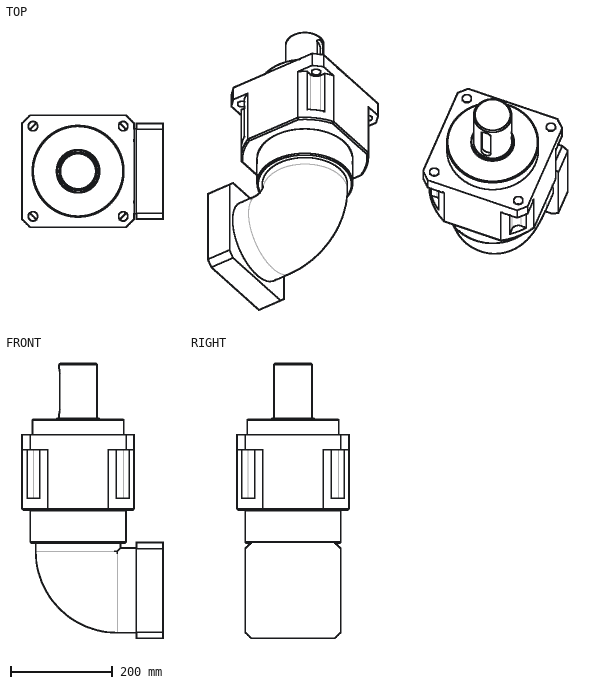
import cadquery as cq
import math

TOTAL_HEIGHT = 539.55
INPUT_REACH = 166.55

SHAFT_DIAMETER = 75.0
SHAFT_TOP = 140.0
SHAFT_CHAMFER = 3.0
KEYWAY_WIDTH = 20.0
KEYWAY_LENGTH = 90.0
KEYWAY_DEPTH = 7.5
KEYWAY_TOP_MARGIN = 10.0

PILOT_DIAMETER = 180.0
PILOT_HEIGHT = 30.0
PILOT_CHAMFER = 2.0
COLLAR_DIAMETER = 85.0
COLLAR_HEIGHT = 2.0
COLLAR_CHAMFER = 1.5

HOUSING_WIDTH = 220.0
FLANGE_THICKNESS = 30.0
FLANGE_CORNER_CHAMFER = 16.0
HOUSING_BOTTOM = -148.0
HOUSING_TURNED_DIAMETER = 250.0
HOUSING_BOTTOM_CHAMFER = 3.0
BOLT_CIRCLE_DIAMETER = 250.0
BOLT_HOLE_DIAMETER = 18.0
BOLT_POCKET_RADIUS = 13.5
BOLT_POCKET_BOTTOM = -125.0

ADAPTER_DIAMETER = 188.0
ADAPTER_BOTTOM = -213.0
ADAPTER_TOP_CHAMFER = 1.5
ADAPTER_BOTTOM_CHAMFER = 2.5

ELBOW_DIAMETER = 167.0
BEND_RADIUS = 77.0

INPUT_FLANGE_WIDTH = 188.0
INPUT_FLANGE_THICKNESS = 52.0
INPUT_FLANGE_CHAMFER = 12.0

PART_BOTTOM = SHAFT_TOP - TOTAL_HEIGHT
FLANGE_BOTTOM = -FLANGE_THICKNESS
INPUT_AXIS_HEIGHT = PART_BOTTOM + INPUT_FLANGE_WIDTH / 2
BEND_TOP = INPUT_AXIS_HEIGHT + BEND_RADIUS
INPUT_FLANGE_BACK = INPUT_REACH - INPUT_FLANGE_THICKNESS
BOLT_OFFSET = BOLT_CIRCLE_DIAMETER / 2 / math.sqrt(2)


def cylinder(diameter, bottom, top):
    """Cylinder on the output axis between two heights."""
    return cq.Workplane("XY").workplane(offset=bottom).circle(diameter / 2).extrude(top - bottom)


def square_block(width, bottom, top):
    """Square block centred on the output axis between two heights."""
    return cq.Workplane("XY").workplane(offset=bottom).rect(width, width).extrude(top - bottom)


def make_shaft():
    """Output shaft with a round-ended keyway sunk into its -X side."""
    shaft = cylinder(SHAFT_DIAMETER, FLANGE_BOTTOM, SHAFT_TOP).faces(">Z").chamfer(SHAFT_CHAMFER)
    keyway_centre = SHAFT_TOP - KEYWAY_TOP_MARGIN - KEYWAY_LENGTH / 2
    keyway = (
        cq.Workplane("YZ", origin=(-SHAFT_DIAMETER / 2, 0, keyway_centre))
        .slot2D(KEYWAY_LENGTH, KEYWAY_WIDTH, 90)
        .extrude(KEYWAY_DEPTH)
    )
    return shaft.cut(keyway)


def make_pilot():
    """Pilot boss carrying the low bevelled collar around the shaft."""
    pilot = cylinder(PILOT_DIAMETER, FLANGE_BOTTOM, PILOT_HEIGHT).faces(">Z").chamfer(PILOT_CHAMFER)
    collar = cylinder(COLLAR_DIAMETER, 0, PILOT_HEIGHT + COLLAR_HEIGHT)
    return pilot.union(collar.faces(">Z").chamfer(COLLAR_CHAMFER))


def make_housing():
    """Square flange over a square housing whose corners are turned round."""
    flange = square_block(HOUSING_WIDTH, FLANGE_BOTTOM, 0).edges("|Z").chamfer(FLANGE_CORNER_CHAMFER)
    turned = cylinder(HOUSING_TURNED_DIAMETER, HOUSING_BOTTOM, FLANGE_BOTTOM)
    body = square_block(HOUSING_WIDTH, HOUSING_BOTTOM, FLANGE_BOTTOM).intersect(turned)
    body = body.faces("<Z").chamfer(HOUSING_BOTTOM_CHAMFER)
    return flange.union(body)


def bolt_cutter(side_x, side_y):
    """Bolt hole through the flange and the open corner pocket for the bolt head below it."""
    inner = BOLT_OFFSET - BOLT_POCKET_RADIUS
    size = HOUSING_WIDTH / 2 - inner
    centre = inner + size / 2
    pocket = (
        cq.Workplane("XY", origin=(side_x * centre, side_y * centre, BOLT_POCKET_BOTTOM))
        .rect(size, size)
        .extrude(FLANGE_BOTTOM - BOLT_POCKET_BOTTOM)
    )
    inner_edge = cq.selectors.NearestToPointSelector(
        (side_x * inner, side_y * inner, (FLANGE_BOTTOM + BOLT_POCKET_BOTTOM) / 2)
    )
    pocket = pocket.edges("|Z").edges(inner_edge).fillet(BOLT_POCKET_RADIUS)
    hole = cylinder(BOLT_HOLE_DIAMETER, FLANGE_BOTTOM, 0)
    return pocket.union(hole.translate((side_x * BOLT_OFFSET, side_y * BOLT_OFFSET, 0)))


def make_adapter():
    """Round adapter between the housing and the elbow."""
    adapter = cylinder(ADAPTER_DIAMETER, ADAPTER_BOTTOM, HOUSING_BOTTOM)
    adapter = adapter.faces(">Z").chamfer(ADAPTER_TOP_CHAMFER)
    return adapter.faces("<Z").chamfer(ADAPTER_BOTTOM_CHAMFER)


def make_elbow():
    """Vertical tube, quarter bend about a Y axis and horizontal tube to the input flange."""
    radius = ELBOW_DIAMETER / 2
    vertical = cylinder(ELBOW_DIAMETER, BEND_TOP, ADAPTER_BOTTOM)
    horizontal = (
        cq.Workplane("YZ", origin=(BEND_RADIUS, 0, INPUT_AXIS_HEIGHT))
        .circle(radius)
        .extrude(INPUT_FLANGE_BACK - BEND_RADIUS)
    )
    half_chord = math.sqrt(radius**2 - BEND_RADIUS**2)
    bend = (
        cq.Workplane("XY", origin=(0, 0, BEND_TOP))
        .moveTo(BEND_RADIUS, half_chord)
        .threePointArc((-radius, 0), (BEND_RADIUS, -half_chord))
        .close()
        .revolve(90, (BEND_RADIUS, 0), (BEND_RADIUS, -1))
    )
    return vertical.union(bend).union(horizontal)


def make_input_flange():
    """Square input flange with bevelled corners."""
    return (
        cq.Workplane("YZ", origin=(INPUT_FLANGE_BACK, 0, INPUT_AXIS_HEIGHT))
        .rect(INPUT_FLANGE_WIDTH, INPUT_FLANGE_WIDTH)
        .extrude(INPUT_FLANGE_THICKNESS)
        .edges("|X")
        .chamfer(INPUT_FLANGE_CHAMFER)
    )


housing = make_housing()
for side_x in (-1, 1):
    for side_y in (-1, 1):
        housing = housing.cut(bolt_cutter(side_x, side_y))

result = housing.union(make_pilot()).union(make_shaft())
result = result.union(make_adapter()).union(make_elbow()).union(make_input_flange())